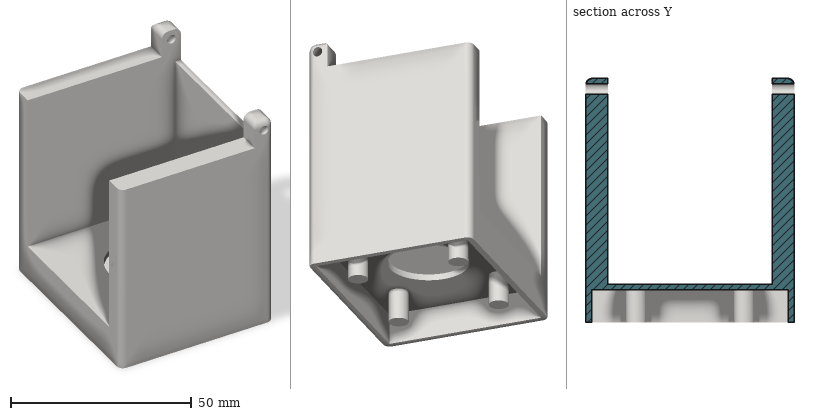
import cadquery as cq

WIDTH = 58.0
DEPTH = 49.0
OVERALL_HEIGHT = 67.9

SKIN = 1.8
CORNER_RADIUS = 2.0
SKIRT_HEIGHT = 9.0
SIDE_WALL = 6.2
SIDE_TOP = 59.9
BACK_TOP = 57.0
FLOOR_TOP = SKIRT_HEIGHT + SKIN

OPENING_DIAMETER = 22.9
POST_DIAMETER = 5.6
POST_SPACING = 30.0

LUG_DEPTH = 6.0
LUG_ROUND = CORNER_RADIUS
LUG_HOLE_DIAMETER = 2.8
LUG_HOLE_DROP = LUG_DEPTH / 2


def box(x_min, x_max, y_min, y_max, z_min, z_max):
    """Box between two corners."""
    size = (x_max - x_min, y_max - y_min, z_max - z_min)
    return cq.Workplane("XY").box(*size, centered=False).translate((x_min, y_min, z_min))


def rounded_block(height):
    """Full footprint with rounded vertical corners."""
    block = cq.Workplane("XY").box(WIDTH, DEPTH, height, centered=(True, True, False))
    return block.edges("|Z").fillet(CORNER_RADIUS)


def make_shell():
    """Side walls, lower back wall and floor, open at the front and under the floor."""
    inner_x = WIDTH / 2 - SIDE_WALL
    back_face = DEPTH / 2 - SKIN
    shell = rounded_block(SIDE_TOP)
    shell = shell.cut(box(-inner_x, inner_x, -DEPTH / 2, back_face, FLOOR_TOP, SIDE_TOP))
    shell = shell.cut(box(-inner_x, inner_x, back_face, DEPTH / 2, BACK_TOP, SIDE_TOP))
    skirt_x = WIDTH / 2 - SKIN
    return shell.cut(box(-skirt_x, skirt_x, -back_face, back_face, 0, SKIRT_HEIGHT))


def make_posts():
    """Four round posts from the bottom of the skirt up into the floor."""
    return (
        cq.Workplane("XY")
        .rect(POST_SPACING, POST_SPACING, forConstruction=True)
        .vertices()
        .circle(POST_DIAMETER / 2)
        .extrude(FLOOR_TOP)
    )


def make_right_lug():
    """Lug on the +X wall, rounded on its outer edges but square on its inner face."""
    back = DEPTH / 2
    lug = box(WIDTH / 2 - SIDE_WALL, WIDTH / 2, back - LUG_DEPTH, back, SIDE_TOP, OVERALL_HEIGHT)
    lug = lug.edges("|Z and >X and >Y").fillet(CORNER_RADIUS)
    return lug.faces(">Z").edges("not <X").fillet(LUG_ROUND)


def make_lug_hole():
    """Cutter for the hinge hole, running through both lugs."""
    axis_y = DEPTH / 2 - LUG_DEPTH / 2
    axis_z = OVERALL_HEIGHT - LUG_HOLE_DROP
    return (
        cq.Workplane("YZ", origin=(-WIDTH / 2, axis_y, axis_z))
        .circle(LUG_HOLE_DIAMETER / 2)
        .extrude(WIDTH)
    )


def make_opening():
    """Cutter for the round opening through the floor."""
    return cq.Workplane("XY").circle(OPENING_DIAMETER / 2).extrude(FLOOR_TOP)


right_lug = make_right_lug()
left_lug = right_lug.mirror("YZ")
result = make_shell().union(make_posts()).union(right_lug).union(left_lug)
result = result.cut(make_lug_hole()).cut(make_opening())